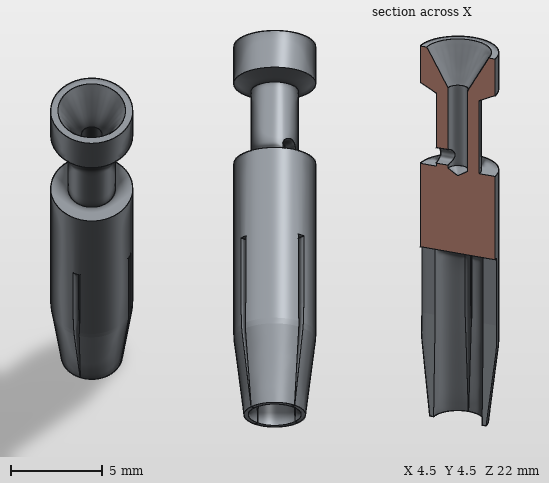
import cadquery as cq
import math

total_length = 22.0
body_diameter = 4.5

head_height = 2.2
head_underside_height = 0.47
neck_diameter = 2.6
shoulder_z = 15.0

blend_top_z = 4.8
blend_bottom_z = 4.47
taper_half_angle = 6.9

socket_diameter = 2.9
slot_top_z = 10.0
slot_width = 0.4
slot_tip_width = 0.02
slot_taper_top_z = 6.0
slot_count = 4

funnel_diameter = 3.7
funnel_angle = 60.0
cup_diameter = 1.15
cup_floor_z = shoulder_z
drill_point_angle = 118.0
inspection_diameter = 0.9
inspection_z = 15.63


def cone_height(diameter_change, included_angle):
    """Axial length over which a cone changes by the given diameter."""
    return diameter_change / 2 / math.tan(math.radians(included_angle / 2))


def make_body():
    """Outer form: tapered tip, cylindrical body, neck and head."""
    body_radius = body_diameter / 2
    neck_radius = neck_diameter / 2
    head_bottom_z = total_length - head_height
    corner_z = (blend_top_z + blend_bottom_z) / 2
    taper_slope = math.tan(math.radians(taper_half_angle))
    tip_radius = body_radius - corner_z * taper_slope
    blend_bottom_radius = body_radius - (corner_z - blend_bottom_z) * taper_slope
    profile = (
        cq.Workplane("XZ")
        .moveTo(0, 0)
        .lineTo(tip_radius, 0)
        .lineTo(blend_bottom_radius, blend_bottom_z)
        .tangentArcPoint((body_radius, blend_top_z), relative=False)
        .lineTo(body_radius, shoulder_z)
        .lineTo(neck_radius, shoulder_z)
        .lineTo(neck_radius, head_bottom_z - head_underside_height)
        .lineTo(body_radius, head_bottom_z)
        .lineTo(body_radius, total_length)
        .lineTo(0, total_length)
        .close()
    )
    return profile.revolve(360, (0, 0, 0), (0, 1, 0))


def make_wire_cup():
    """Funnel, straight bore and conical drill point, open at the top."""
    cup_radius = cup_diameter / 2
    funnel_bottom_z = total_length - cone_height(funnel_diameter - cup_diameter, funnel_angle)
    point_z = cup_floor_z - cone_height(cup_diameter, drill_point_angle)
    profile = (
        cq.Workplane("XZ")
        .moveTo(0, point_z)
        .lineTo(cup_radius, cup_floor_z)
        .lineTo(cup_radius, funnel_bottom_z)
        .lineTo(funnel_diameter / 2, total_length)
        .lineTo(0, total_length)
        .close()
    )
    return profile.revolve(360, (0, 0, 0), (0, 1, 0))


def make_inspection_hole():
    """Radial hole from the +Y side of the neck into the wire cup."""
    plane = cq.Plane(origin=(0, 0, inspection_z), xDir=(1, 0, 0), normal=(0, 1, 0))
    return cq.Workplane(plane).circle(inspection_diameter / 2).extrude(neck_diameter)


def make_socket():
    """Straight bore up from the tip, as deep as the slots."""
    return cq.Workplane("XY").circle(socket_diameter / 2).extrude(slot_top_z)


def make_slot(angle):
    """One slot from the axis outward, narrowing towards the tip."""
    half_width = slot_width / 2
    half_tip_width = slot_tip_width / 2
    profile = (
        cq.Workplane("XZ")
        .moveTo(-half_tip_width, 0)
        .lineTo(half_tip_width, 0)
        .lineTo(half_width, slot_taper_top_z)
        .lineTo(half_width, slot_top_z)
        .lineTo(-half_width, slot_top_z)
        .lineTo(-half_width, slot_taper_top_z)
        .close()
    )
    return profile.extrude(body_diameter).rotate((0, 0, 0), (0, 0, 1), angle)


result = make_body().cut(make_wire_cup()).cut(make_inspection_hole()).cut(make_socket())
for index in range(slot_count):
    result = result.cut(make_slot(index * 360 / slot_count))